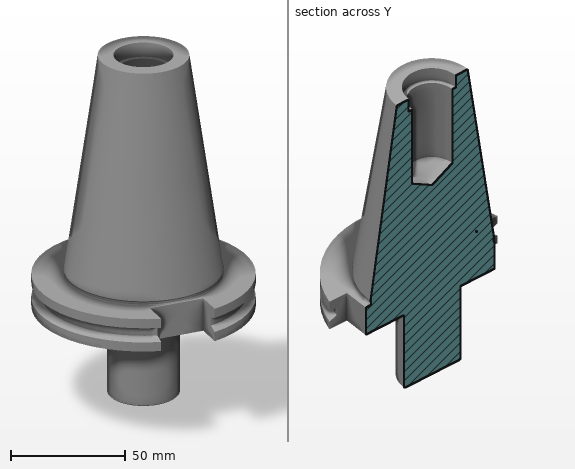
import cadquery as cq

total_height = 161.6
flange_bottom = 41.2
flange_height = 15.5
neck_height = 2.3
neck_bevel_height = 0.6
flange_top = flange_bottom + flange_height
taper_bottom = flange_top + neck_height

shank_diameter = 32.0
shank_chamfer = 0.5
neck_diameter = 69.3
taper_large_diameter = 70.1
taper_small_diameter = 40.2

flange_diameter = 98.4
groove_floor_diameter = 90.5
groove_width = 6.8
groove_floor_width = 3.9
groove_center = flange_bottom + flange_height / 2

slot_width = 25.7
slot_floor_distance_left = 37.7
slot_floor_distance_right = 35.2

counterbore_diameter = 26.3
counterbore_depth = 6.8
bore_diameter = 22.5
bore_depth = 48.5
drill_point_height = 6.5


def revolve_outline(points):
    """Revolve a closed (radius, height) outline about the Z axis."""
    outline = cq.Workplane("XZ").polyline(points).close()
    return outline.revolve(360, (0, 0, 0), (0, 1, 0))


def make_body():
    shank_radius = shank_diameter / 2
    flange_radius = flange_diameter / 2
    groove_floor_radius = groove_floor_diameter / 2
    groove_bottom = groove_center - groove_width / 2
    groove_top = groove_center + groove_width / 2
    floor_bottom = groove_center - groove_floor_width / 2
    floor_top = groove_center + groove_floor_width / 2
    return revolve_outline([
        (0, 0),
        (shank_radius - shank_chamfer, 0),
        (shank_radius, shank_chamfer),
        (shank_radius, flange_bottom),
        (flange_radius, flange_bottom),
        (flange_radius, groove_bottom),
        (groove_floor_radius, floor_bottom),
        (groove_floor_radius, floor_top),
        (flange_radius, groove_top),
        (flange_radius, flange_top),
        (taper_large_diameter / 2, flange_top),
        (neck_diameter / 2, flange_top + neck_bevel_height),
        (neck_diameter / 2, taper_bottom - neck_bevel_height),
        (taper_large_diameter / 2, taper_bottom),
        (taper_small_diameter / 2, total_height),
        (0, total_height),
    ])


def make_bore():
    counterbore_floor = total_height - counterbore_depth
    bore_floor = total_height - bore_depth
    return revolve_outline([
        (0, total_height),
        (counterbore_diameter / 2, total_height),
        (counterbore_diameter / 2, counterbore_floor),
        (bore_diameter / 2, counterbore_floor),
        (bore_diameter / 2, bore_floor),
        (0, bore_floor - drill_point_height),
    ])


def make_drive_slot(side, floor_distance):
    """Box that opens the flange rim on the +X (side = 1) or -X (side = -1) side."""
    slot_length = flange_diameter / 2
    slot_center = side * (floor_distance + slot_length / 2)
    slot = cq.Workplane("XY").box(slot_length, slot_width, flange_height)
    return slot.translate((slot_center, 0, groove_center))


result = make_body().cut(make_bore())
result = result.cut(make_drive_slot(-1, slot_floor_distance_left))
result = result.cut(make_drive_slot(1, slot_floor_distance_right))